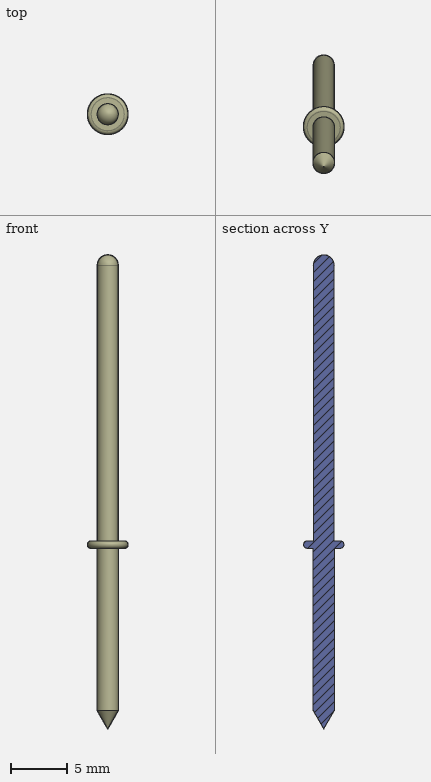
import cadquery as cq
import math

total_length = 42.09
upper_diameter = 1.88
lower_diameter = 1.93
collar_diameter = 3.63
collar_thickness = 0.69
collar_bottom_z = 16.0
tip_flat_diameter = 0.04
tip_half_angle = 30

upper_radius = upper_diameter / 2
lower_radius = lower_diameter / 2
tip_flat_radius = tip_flat_diameter / 2
tip_height = (lower_radius - tip_flat_radius) / math.tan(math.radians(tip_half_angle))
collar_radius = collar_diameter / 2
collar_top_z = collar_bottom_z + collar_thickness
collar_rim_radius = collar_thickness / 2
collar_flat_radius = collar_radius - collar_rim_radius
dome_base_z = total_length - upper_radius
dome_mid_offset = upper_radius * math.sqrt(0.5)


def pin_profile():
    """Half section of the pin, drawn as radius against height."""
    return (
        cq.Workplane("XZ")
        .moveTo(0, 0)
        .lineTo(tip_flat_radius, 0)
        .lineTo(lower_radius, tip_height)
        .lineTo(lower_radius, collar_bottom_z)
        .lineTo(collar_flat_radius, collar_bottom_z)
        .threePointArc(
            (collar_radius, collar_bottom_z + collar_rim_radius),
            (collar_flat_radius, collar_top_z),
        )
        .lineTo(upper_radius, collar_top_z)
        .lineTo(upper_radius, dome_base_z)
        .threePointArc(
            (dome_mid_offset, dome_base_z + dome_mid_offset),
            (0, total_length),
        )
        .close()
    )


result = pin_profile().revolve(360, (0, 0, 0), (0, 1, 0))